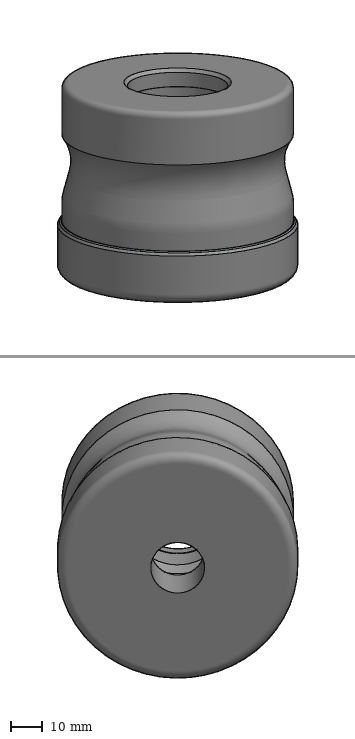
import cadquery as cq
import math

total_height = 62.56

base_radius = 38.1
base_height = 17.2
base_bottom_fillet = 3.0
base_rim_radius = 37.0
base_break_radius = 37.5
upper_bevel_height = 0.35
lower_bevel_height = 0.9
base_hole_radius = 8.5
base_hole_chamfer = 0.5

adapter_radius = 36.7
adapter_top_fillet = 2.05
collar_height = 17.05
groove_waist_radius = 33.9
groove_arc_radius = 14.6
flank_angle = math.radians(15)
flank_blend_radius = 10.5

mouth_radius = 15.9
mouth_depth = 5.8
mouth_chamfer = 1.1
bore_radius = 15.7
bore_depth = 16.6
cavity_widening = 2.2


def revolve_profile(profile):
    """Turn a closed (radius, height) profile around the Z axis."""
    return profile.close().revolve(360, (0, 0, 0), (0, 1, 0))


def build_base():
    bevel_break_z = base_height - upper_bevel_height
    bevel_bottom_z = bevel_break_z - lower_bevel_height
    fillet_mid = base_bottom_fillet * (1 - math.sqrt(0.5))
    profile = (
        cq.Workplane("XZ")
        .moveTo(base_hole_radius, 0)
        .lineTo(base_radius - base_bottom_fillet, 0)
        .threePointArc((base_radius - fillet_mid, fillet_mid), (base_radius, base_bottom_fillet))
        .lineTo(base_radius, bevel_bottom_z)
        .lineTo(base_break_radius, bevel_break_z)
        .lineTo(base_rim_radius, base_height)
        .lineTo(base_hole_radius + base_hole_chamfer, base_height)
        .lineTo(base_hole_radius, base_height - base_hole_chamfer)
    )
    return revolve_profile(profile)


def arc_point(centre, radius, angle):
    """Point on a circle, with the angle measured up from the radial direction."""
    return (centre[0] + radius * math.cos(angle), centre[1] + radius * math.sin(angle))


def build_adapter():
    collar_bottom_z = total_height - collar_height
    groove_depth = adapter_radius - groove_waist_radius
    upper_arc_rise = math.sqrt(groove_arc_radius**2 - (groove_arc_radius - groove_depth) ** 2)
    waist_z = collar_bottom_z - upper_arc_rise
    groove_centre = (groove_waist_radius + groove_arc_radius, waist_z)
    flank_top = arc_point(groove_centre, groove_arc_radius, math.pi + flank_angle)

    flank_bottom_r = adapter_radius - flank_blend_radius * (1 - math.cos(flank_angle))
    flank_bottom_z = flank_top[1] - (flank_bottom_r - flank_top[0]) / math.tan(flank_angle)
    band_top_z = flank_bottom_z - flank_blend_radius * math.sin(flank_angle)
    blend_centre = (adapter_radius - flank_blend_radius, band_top_z)
    blend_mid = arc_point(blend_centre, flank_blend_radius, flank_angle / 2)

    cavity_radius = bore_radius + cavity_widening
    flare_top_z = total_height - bore_depth
    mouth_bottom_z = total_height - mouth_depth
    top_fillet_mid = adapter_top_fillet * (1 - math.sqrt(0.5))

    profile = (
        cq.Workplane("XZ")
        .moveTo(cavity_radius, base_height)
        .lineTo(adapter_radius, base_height)
        .lineTo(adapter_radius, band_top_z)
        .threePointArc(blend_mid, (flank_bottom_r, flank_bottom_z))
        .lineTo(*flank_top)
        .threePointArc((groove_waist_radius, waist_z), (adapter_radius, collar_bottom_z))
        .lineTo(adapter_radius, total_height - adapter_top_fillet)
        .threePointArc(
            (adapter_radius - top_fillet_mid, total_height - top_fillet_mid),
            (adapter_radius - adapter_top_fillet, total_height),
        )
        .lineTo(mouth_radius + mouth_chamfer, total_height)
        .lineTo(mouth_radius, total_height - mouth_chamfer)
        .lineTo(mouth_radius, mouth_bottom_z)
        .lineTo(bore_radius, mouth_bottom_z)
        .lineTo(bore_radius, flare_top_z)
        .lineTo(cavity_radius, flare_top_z - cavity_widening)
    )
    return revolve_profile(profile)


base = build_base()
adapter = build_adapter()

result = cq.Compound.makeCompound([base.val(), adapter.val()])